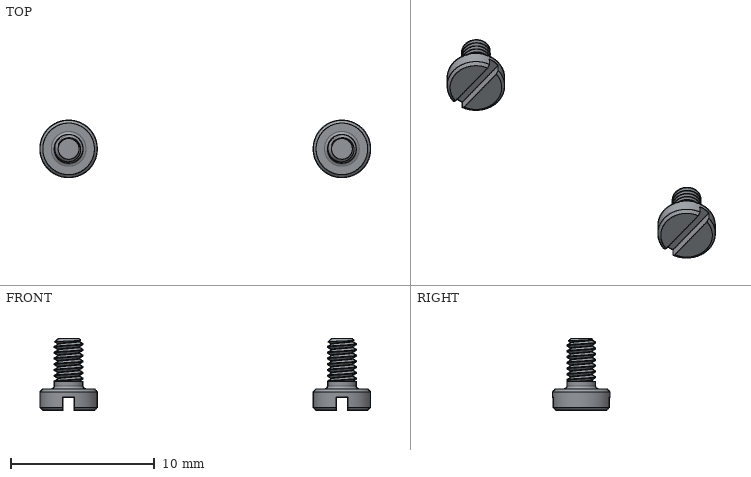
import cadquery as cq

overall_length = 23.0
head_diameter = 4.0
screw_spacing = overall_length - head_diameter

head_radius = head_diameter / 2
head_height = 1.5
head_chamfer = 0.2
slot_width = 0.78
slot_depth = 0.9

screw_height = 5.0
shank_radius = head_radius / 2
neck_fillet = 0.2
tip_chamfer = 0.28

pitch = 2 * shank_radius / 5
root_radius = 0.75
root_half_width = 0.02
crest_width = pitch / 8
thread_start = 2.0
cutter_clearance = 0.035
envelope_clearance = 0.23
seam_angle = 50
turns_below_start = 1
turns_above_tip = 1


def make_head():
    """Disc with both rims chamfered."""
    disc = cq.Workplane("XY").circle(head_radius).extrude(head_height)
    return disc.faces("<Z or >Z").edges().chamfer(head_chamfer)


def make_rod(bottom, top):
    """Plain round stretch of the shank between two heights."""
    rod = cq.Workplane("XY").workplane(offset=bottom)
    return rod.circle(shank_radius).extrude(top - bottom)


def make_tip_envelope():
    """Oversized cylinder from the thread start up, coned at the tip."""
    envelope_radius = shank_radius + envelope_clearance
    envelope = cq.Workplane("XY").workplane(offset=thread_start)
    envelope = envelope.circle(envelope_radius).extrude(screw_height - thread_start)
    return envelope.faces(">Z").edges().chamfer(tip_chamfer + envelope_clearance)


def make_thread_groove():
    """Helical V groove that overruns both ends of the thread."""
    bottom = (round(thread_start / pitch) - turns_below_start) * pitch
    length = screw_height + turns_above_tip * pitch - bottom
    helix = cq.Wire.makeHelix(pitch, length, shank_radius, cq.Vector(0, 0, bottom))

    surface_half_width = (pitch - crest_width) / 2
    flank_slope = (surface_half_width - root_half_width) / (shank_radius - root_radius)
    outer_radius = shank_radius + cutter_clearance
    outer_half_width = surface_half_width + flank_slope * cutter_clearance
    profile = cq.Workplane("XZ").polyline([
        (root_radius, bottom - root_half_width),
        (outer_radius, bottom - outer_half_width),
        (outer_radius, bottom + outer_half_width),
        (root_radius, bottom + root_half_width),
    ]).close()
    return profile.sweep(cq.Workplane(helix), isFrenet=True)


def make_shank():
    """Threaded stretch with a chamfered tip, on a plain neck."""
    rod = make_rod(head_height, screw_height).rotate((0, 0, 0), (0, 0, 1), seam_angle)
    threaded = rod.cut(make_thread_groove()).intersect(make_tip_envelope())
    return threaded.union(make_rod(head_height, thread_start))


def make_neck_fillet():
    """Ring with a concave quarter-round between the head and the shank."""
    ring = (
        cq.Workplane("XZ")
        .moveTo(0, head_height)
        .lineTo(shank_radius + neck_fillet, head_height)
        .radiusArc((shank_radius, head_height + neck_fillet), neck_fillet)
        .lineTo(0, head_height + neck_fillet)
        .close()
    )
    return ring.revolve(360, (0, 0, 0), (0, 1, 0))


def make_driver_slot():
    """Slot running across the underside of the head along Y."""
    return cq.Workplane("XY").rect(slot_width, head_diameter).extrude(slot_depth)


def make_screw(x):
    """One complete screw with its axis at the given X."""
    screw = make_shank()
    screw = screw.union(make_neck_fillet()).union(make_head())
    return screw.cut(make_driver_slot()).translate((x, 0, 0))


screws = []
for side in (-1, 1):
    screws.append(make_screw(side * screw_spacing / 2).val())

result = cq.Compound.makeCompound(screws)